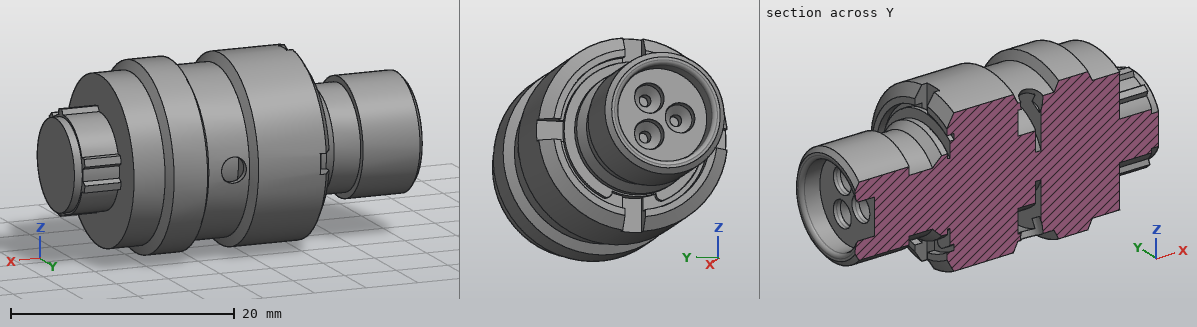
import cadquery as cq
import math


length = 33.37
x_nose = -length / 2

nose_length = 5.95
neck_end = 8.5
collar_start = 9.5
grip_start = 10.08
grip_end = 17.92
band_start = 21.85
band_end = 26.1
sleeve_end = 29.1
plug_end = 32.6

nose_radius = 5.55
nose_face_radius = 5.05
neck_radius = 4.97
collar_radius = 5.6
grip_face_radius = 7.6
grip_radius = 17.6 / 2
sleeve_radius = 15.8 / 2
plug_radius = 4.5
tip_radius = 4.3

nose_chamfer = 0.45
grip_chamfer = 0.77
edge_chamfer = 0.5

recess_radius = 6.97
recess_depth = 0.8
recess_floor = grip_start + recess_depth
disc_radius = 6.5
disc_start = grip_start + 0.35
undercut_width = 0.25
undercut_radius = 5.27

keyway_width = 4.07
keyway_floor_radius = 5.7
keyway_fillet = 0.55

notch_count = 4
notch_width = 1.9
notch_depth = 1.35

socket_radius = 4.37
socket_depth = 2.1
socket_lip = 0.4

contact_count = 3
contact_circle_radius = 1.9
funnel_radius = 1.37
funnel_straight = 0.37
cone_radius = 1.3
cone_start = 0.75
funnel_depth = 1.4
pin_hole_radius = 0.55
pin_hole_depth = 1.0

hole_count = 3
hole_x = 19.42
hole_diameter = 2.4
first_hole_angle = -90
hollow_start = 17.92
hollow_end = 20.42
hollow_radius = 7.27
core_step = 19.85
core_radius = 5.35
core_small_radius = 4.2

key_angles = (9, 38, 137, 167, 256, 284)
key_outer_radius = 9.98 / 2
key_overlap = 0.35
key_root_width = 1.27
key_top_width = 0.7


def revolve_profile(points):
    """Revolve an (axial distance, radius) outline around the X axis."""
    placed = [(x_nose + x, r) for x, r in points]
    return cq.Workplane("XY").polyline(placed).close().revolve(360, (0, 0, 0), (1, 0, 0))


def ring(start, end, outer, inner):
    """Tube between two axial positions."""
    return revolve_profile([(start, inner), (end, inner), (end, outer), (start, outer)])


def cylinder(start, end, radius):
    """Solid cylinder around the X axis."""
    base = cq.Workplane("YZ", origin=(x_nose + start, 0, 0))
    return base.circle(radius).extrude(end - start)


def make_body():
    """Solid turned outline from the nose to the tip of the plug end."""
    return revolve_profile([
        (0, 0),
        (0, nose_face_radius),
        (nose_chamfer, nose_radius),
        (nose_length, nose_radius),
        (nose_length, neck_radius),
        (neck_end, neck_radius),
        (collar_start, collar_radius),
        (disc_start - undercut_width, collar_radius),
        (disc_start - undercut_width, undercut_radius),
        (recess_floor, undercut_radius),
        (recess_floor, recess_radius),
        (grip_start, recess_radius),
        (grip_start, grip_face_radius),
        (grip_start + grip_chamfer, grip_radius),
        (grip_end - edge_chamfer, grip_radius),
        (grip_end, sleeve_radius),
        (band_start, sleeve_radius),
        (band_start + edge_chamfer, grip_radius),
        (band_end - edge_chamfer, grip_radius),
        (band_end, sleeve_radius),
        (sleeve_end, sleeve_radius),
        (sleeve_end, plug_radius),
        (plug_end, plug_radius),
        (plug_end, tip_radius),
        (length, tip_radius),
        (length, 0),
    ])


def make_disc():
    """Disc with a keyway with rounded corners at the bottom."""
    disc = cylinder(disc_start, recess_floor, disc_radius)
    keyway = (
        cq.Workplane("YZ", origin=(x_nose + disc_start, 0, -disc_radius))
        .rect(keyway_width, disc_radius)
        .extrude(recess_floor - disc_start)
        .cut(cylinder(disc_start, recess_floor, keyway_floor_radius))
    )
    corner_z = -math.sqrt(disc_radius**2 - (keyway_width / 2) ** 2)
    disc = disc.cut(keyway)
    for side in (-1, 1):
        corner = (x_nose + disc_start, side * keyway_width / 2, corner_z)
        disc = disc.edges("|X").edges(cq.NearestToPointSelector(corner)).fillet(keyway_fillet)
    return disc


def make_notch(angle):
    """Notch through the front of the grip, running just behind the disc."""
    box = cq.Workplane("XY", origin=(x_nose + grip_start, 0, 0)).box(
        notch_depth, notch_width, grip_radius, centered=(False, True, False)
    )
    notch = box.cut(cylinder(grip_start, grip_start + notch_depth, keyway_floor_radius))
    return notch.rotate((0, 0, 0), (1, 0, 0), angle)


def make_socket():
    """Round socket whose mouth is rounded outward."""
    return (
        cq.Workplane("XY")
        .moveTo(x_nose, 0)
        .lineTo(x_nose, socket_radius + socket_lip)
        .radiusArc((x_nose + socket_lip, socket_radius), -socket_lip)
        .lineTo(x_nose + socket_depth, socket_radius)
        .lineTo(x_nose + socket_depth, 0)
        .close()
        .revolve(360, (0, 0, 0), (1, 0, 0))
    )


def make_contact(y, z):
    """Funnel and pin hole, sunk into the socket floor."""
    outline = [
        (0, 0),
        (0, funnel_radius),
        (funnel_straight, funnel_radius),
        (cone_start, cone_radius),
        (funnel_depth, pin_hole_radius),
        (funnel_depth + pin_hole_depth, pin_hole_radius),
        (funnel_depth + pin_hole_depth, 0),
    ]
    return revolve_profile(outline).translate((socket_depth, y, z))


def make_hollow():
    """Closed ring space inside the sleeve, deeper behind the step in the core."""
    front = ring(hollow_start, core_step, hollow_radius, core_radius)
    return front.union(ring(core_step, hollow_end, hollow_radius, core_small_radius))


def make_radial_hole(angle):
    """Hole from the sleeve surface into the hollow."""
    hollow_middle = (core_radius + hollow_radius) / 2
    hole = (
        cq.Workplane("XY", origin=(x_nose + hole_x, 0, hollow_middle))
        .circle(hole_diameter / 2)
        .extrude(grip_radius - hollow_middle)
    )
    return hole.rotate((0, 0, 0), (1, 0, 0), angle)


def make_key(angle):
    """Tapered rib along the plug end, rooted below its surface."""
    root = plug_radius - key_overlap
    key = (
        cq.Workplane("YZ", origin=(x_nose + sleeve_end, 0, 0))
        .polyline([
            (-key_root_width / 2, root),
            (key_root_width / 2, root),
            (key_top_width / 2, key_outer_radius),
            (-key_top_width / 2, key_outer_radius),
        ])
        .close()
        .extrude(plug_end - sleeve_end)
    )
    return key.rotate((0, 0, 0), (1, 0, 0), angle)


body = make_body()
disc = make_disc()
for index in range(notch_count):
    body = body.cut(make_notch(360 / notch_count * index))
result = body.union(disc).cut(make_socket())
for index in range(contact_count):
    contact_angle = 2 * math.pi * index / contact_count
    result = result.cut(make_contact(
        -contact_circle_radius * math.cos(contact_angle),
        contact_circle_radius * math.sin(contact_angle),
    ))
result = result.cut(make_hollow())
for index in range(hole_count):
    result = result.cut(make_radial_hole(first_hole_angle + 360 / hole_count * index))
for key_angle in key_angles:
    result = result.union(make_key(key_angle))